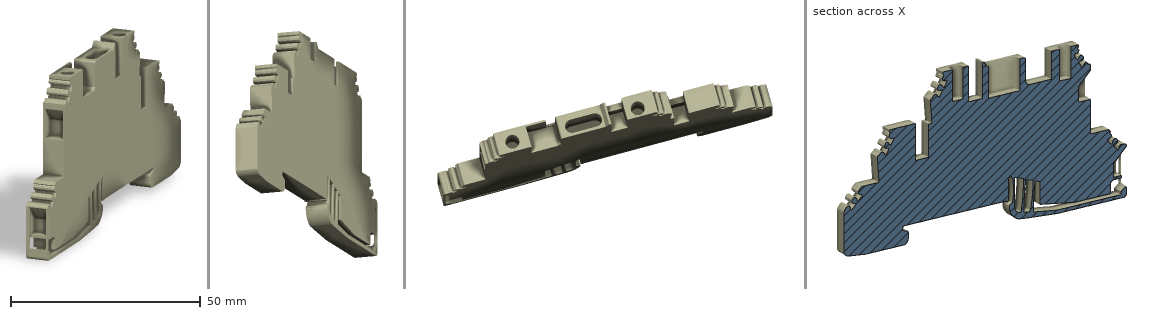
import cadquery as cq
import math


thickness = 6.1
length = 90.0
height = 48.0
overcut = 0.9

foot_level = 1.6
rail_level = 7.0
front_step_level = 20.3
back_step_level = 21.15
slot_shelf_level = 34.2
middle_level = 35.3
housing_level = 46.4

front_wall_y = 11.4
fixed_hook_y = 69.4
latch_wall_y = 37.5
end_wall = 0.5

back_slot = (63.1, 67.1, 29.3)
top_slot = (45.9, 50.3, 42.3)
front_slot = (29.5, 32.1, 39.4)

steep_fall = 58.0
even_fall = 45.0
back_strip = (85.8, 16.8, even_fall, 1)
middle_strip = (75.3, 30.4, steep_fall, 1)
top_strip = (58.4, 43.1, steep_fall, 1)
housing_strip = (15.5, 41.8, steep_fall, -1)
front_strip = (4.5, 15.7, even_fall, -1)
strips = [back_strip, middle_strip, top_strip, housing_strip, front_strip]

groove_depth = 1.9
groove_offset = 1.4
groove_mouth = 1.2
groove_root_width = 1.9
groove_root_height = 0.4
groove_neck_height = 0.8
groove_flare = 0.4
strip_half_length = 2.7
nick_depth = 0.4
nick_half_height = 0.3
nick_drop = 1.1


def on_strip(strip, along, out):
    """Point on a strip: `along` runs down the slope, `out` leaves the tooth root."""
    root_y, root_z, fall, facing = strip
    cos_fall = math.cos(math.radians(fall))
    sin_fall = math.sin(math.radians(fall))
    y = root_y + facing * (along * cos_fall + out * sin_fall)
    z = root_z - along * sin_fall + out * cos_fall
    return (y, z)


def slope_start(strip):
    return on_strip(strip, -strip_half_length, groove_depth)


def slope_end(strip):
    return on_strip(strip, strip_half_length, groove_depth)


def lip_nick(strip, ledge):
    """V nick in the upright lip between a ledge and the strip below it."""
    lip_y = slope_start(strip)[0]
    facing = strip[3]
    middle = ledge - nick_drop
    return [
        (lip_y, middle + facing * nick_half_height),
        (lip_y - facing * nick_depth, middle),
        (lip_y, middle - facing * nick_half_height),
    ]


def add_lines(outline, points):
    """Continue an outline with straight lines through the points."""
    for point in points:
        outline = outline.lineTo(*point)
    return outline


def plate(points):
    """Full-thickness plate from a closed Y-Z outline."""
    return cq.Workplane("YZ").polyline(points).close().extrude(thickness)


def box(x_range, y_range, z_range):
    sizes = [high - low for low, high in (x_range, y_range, z_range)]
    corner = (x_range[0], y_range[0], z_range[0])
    return cq.Workplane("XY").box(*sizes, centered=False).translate(corner)


def make_body():
    slot_edge = 0.5
    toe_radius = 1.0
    brow_radius = 0.9
    brow_level = 15.2
    outline = cq.Workplane("YZ").moveTo(length, 3.4)

    outline = outline.threePointArc((89.4, 2.7), (88.4, 2.25))
    outline = outline.lineTo(83.0, foot_level).lineTo(71.2, foot_level)
    outline = outline.threePointArc((69.9, 2.1), (fixed_hook_y, 3.15))
    outline = outline.lineTo(fixed_hook_y, 4.95)
    outline = outline.threePointArc((69.6, 5.3), (69.9, 5.5))
    outline = outline.lineTo(70.8, 5.8)
    outline = outline.threePointArc((71.2, 6.4), (70.65, rail_level))

    outline = outline.lineTo(38.4, rail_level).lineTo(38.25, 6.75).lineTo(37.8, 6.75)
    outline = outline.lineTo(latch_wall_y, rail_level).lineTo(latch_wall_y, 13.6)
    outline = outline.lineTo(36.8, 13.6).lineTo(36.4, 13.0)
    outline = outline.threePointArc((36.1, 9.9), (36.4, 6.3))
    outline = outline.lineTo(37.4, 5.6).lineTo(37.4, 4.7)
    outline = outline.threePointArc((36.3, 2.3), (34.3, 1.1))
    outline = outline.lineTo(31.95, 0.8).lineTo(22.05, 0).lineTo(toe_radius, 0)
    outline = outline.radiusArc((0, toe_radius), toe_radius)

    outline = outline.lineTo(0, brow_level - brow_radius)
    outline = outline.radiusArc((brow_radius, brow_level), brow_radius)
    near, far, floor = front_slot
    points = [
        (1.35, brow_level),
        slope_start(front_strip),
        *lip_nick(front_strip, front_step_level),
        (5.7, front_step_level),
        (front_wall_y, front_step_level), (front_wall_y, 40.05), (12.2, 40.2),
        slope_end(housing_strip), slope_start(housing_strip),
        *lip_nick(housing_strip, housing_level),
        (slope_start(housing_strip)[0], housing_level),
        (near - slot_edge, housing_level),
    ]
    outline = add_lines(outline, points)

    outline = outline.radiusArc((near, housing_level - slot_edge), slot_edge)
    outline = outline.lineTo(near, floor).lineTo(far, floor).lineTo(far, housing_level - slot_edge)
    outline = outline.radiusArc((far + slot_edge, housing_level), slot_edge)

    near, far, floor = top_slot
    points = [
        (44.4, housing_level), (45.4, height),
        (near, height), (near, floor), (far, floor), (far, height),
    ]
    points += [
        (slope_start(top_strip)[0], height),
        *lip_nick(top_strip, height),
        slope_start(top_strip), slope_end(top_strip),
        (62.55, 40.9), (62.0, slot_shelf_level),
    ]
    near, far, floor = back_slot
    points += [
        (near, slot_shelf_level), (near, floor), (far, floor), (far, middle_level),
        (slope_start(middle_strip)[0], middle_level),
        *lip_nick(middle_strip, middle_level),
        slope_start(middle_strip), slope_end(middle_strip),
        (79.4, 28.4), (78.8, back_step_level),
        (84.2, back_step_level), (89.3, 16.1), (89.8, 15.4), (length, 14.85),
    ]
    return add_lines(outline, points).close().extrude(thickness)


def groove_cutter(strip, side):
    """T-shaped groove on one side of a strip's tooth."""
    middle = side * groove_offset
    mouth = groove_mouth / 2
    root = groove_root_width / 2
    flare_start = groove_depth - groove_flare
    half = [
        (root, 0), (root, groove_root_height),
        (mouth, groove_neck_height), (mouth, flare_start),
        (mouth + groove_flare + overcut, groove_depth + overcut),
    ]
    local = [(middle + across, out) for across, out in half]
    local += [(middle - across, out) for across, out in reversed(half)]
    return plate([on_strip(strip, along, out) for along, out in local])


def latch_openings():
    """Three through openings that leave the thin ribs and the spring arm."""
    first = cq.Workplane("YZ").moveTo(35.55, 13.05).lineTo(32.9, 12.2)
    first = first.threePointArc((33.0, 8.55), (33.7, 3.0)).lineTo(34.1, 3.0)
    first = first.threePointArc((35.1, 3.5), (35.55, 4.5)).close()

    second = cq.Workplane("YZ").moveTo(32.0, 11.7).lineTo(29.9, 11.1)
    second = second.threePointArc((30.1, 7.2), (30.7, 2.9)).lineTo(31.05, 2.5)
    second = second.lineTo(32.6, 2.7)
    second = second.threePointArc((32.5, 7.2), (32.0, 11.7)).close()

    third = cq.Workplane("YZ").moveTo(29.1, 10.7).lineTo(27.7, 10.3)
    third = third.lineTo(27.7, 3.8).lineTo(16.65, 2.0).lineTo(5.1, 2.0)
    third = third.lineTo(5.1, 4.6).threePointArc((4.9, 5.3), (4.05, 5.7))
    third = third.lineTo(1.6, 5.7).lineTo(1.6, 12.7).lineTo(0.8, 12.7)
    third = third.lineTo(end_wall, 12.2).lineTo(end_wall, 2.9).lineTo(1.9, 2.0)
    third = third.lineTo(1.9, 1.1).lineTo(22.05, 1.1).lineTo(29.6, 2.2)
    third = third.threePointArc((29.5, 6.75), (29.1, 10.7)).close()
    return [opening.extrude(thickness) for opening in (first, second, third)]


hole_depth = 9.0
recess_depth = 4.5


def slot_recesses():
    """Deeper part of the top slots behind the side wall, open to the far side."""
    side_wall = 1.6
    cutters = []
    for near, far, floor in (back_slot, top_slot):
        x_range = (side_wall, thickness + overcut)
        cutters.append(box(x_range, (near, far), (floor - recess_depth, height)))
    return cutters


def front_recess():
    """Wide recess behind a thin wall, with a 45 degree bevel below the slot floor."""
    side_wall = 0.5
    near = 24.0
    lean = 0.9
    far = front_slot[1]
    floor = front_slot[2]
    bottom = floor - lean
    points = [(near, bottom), (far - lean, bottom), (far, floor), (far, height), (near, height)]
    return plate(points).translate((side_wall, 0, 0))


def screw_holes():
    hole_diameter = 3.7
    places = [(3.9, 53.7, height), (3.5, 19.5, housing_level)]
    holes = []
    for x, y, top in places:
        hole = cq.Workplane("XY", origin=(x, y, top)).circle(hole_diameter / 2).extrude(-hole_depth)
        holes.append(hole)
    return holes


def long_hole():
    hole_length = 10.0
    hole_width = 3.6
    plane = cq.Workplane("XY", origin=(3.6, 39.0, housing_level))
    return plane.slot2D(hole_length, hole_width, 90).extrude(-hole_depth)


housing_entry_x = (0.5, 5.7)
housing_entry_z = (30.15, 38.3)
housing_entry_depth = 3.9
front_entry_x = (0.8, 5.7)
front_entry_z = (6.5, 14.4)
front_entry_depth = 4.1


def wire_entry(x_range, face_y, z_range, depth):
    """Pocket into an end face whose ceiling falls at 45 degrees to the back."""
    bottom, top = z_range
    points = [
        (face_y, bottom), (face_y + depth, bottom),
        (face_y + depth, top - depth), (face_y, top),
    ]
    low_x, high_x = x_range
    plane = cq.Workplane("YZ", origin=(low_x, 0, 0))
    return plane.polyline(points).close().extrude(high_x - low_x)


def end_window(x_range):
    """Lower part of the front entry, through the thin end wall only."""
    sill = 3.0
    corner_radius = 0.8
    window = box(x_range, (0, end_wall), (sill, front_entry_z[0]))
    return window.edges("|Y and <Z").fillet(corner_radius)


cutters = [groove_cutter(strip, side) for strip in strips for side in (-1, 1)]
cutters += latch_openings()
cutters += slot_recesses()
cutters += [front_recess(), long_hole()]
cutters += screw_holes()
cutters.append(wire_entry(housing_entry_x, front_wall_y, housing_entry_z, housing_entry_depth))
cutters.append(wire_entry(front_entry_x, 0, front_entry_z, front_entry_depth))
cutters.append(end_window(front_entry_x))

result = make_body()
for cutter in cutters:
    result = result.cut(cutter)